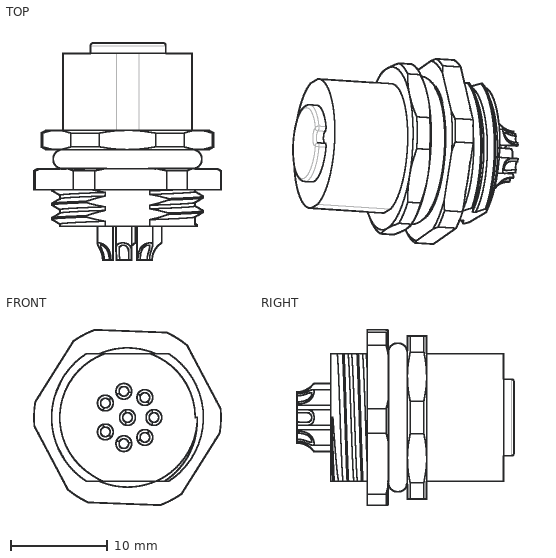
import cadquery as cq
import math


body_length = 18.0
root_radius = 7.05
barrel_radius = 6.75
flat_offset = 6.65

thread_pitch = 1.5
thread_radius = 7.9
thread_flank_angle = 30.0
crest_width = 0.15
thread_start_y = 0.06
thread_start_radius = 7.24
thread_overlap = 0.2
thread_height = thread_radius - root_radius

flange_start = 3.8
flange_thickness = 2.2
flange_across_flats = 18.0
flange_corner_radius = 9.75
flange_bore_radius = 7.25
flange_tilt = -2.15
flange_chamfer_depth = 0.22
flange_chamfer_width = 0.35

ring_gap = 2.0
ring_section_radius = 1.01
ring_centre_radius = 6.74

nut_thickness = 2.0
nut_across_flats = 17.0
nut_corner_radius = 9.0
nut_chamfer_depth = 0.29
nut_chamfer_width = 0.5

insert_radius = 4.0
insert_projection = 1.1
insert_rim_radius = 0.3
key_slot_radius = 0.65
key_slot_depth = 1.0
key_slot_edge_radius = 0.36

pin_length = 3.5
pin_radius = 0.82
pin_circle_radius = 2.75
pin_circle_count = 7
pin_spacing_angle = 49.0
cup_bore_radius = 0.5
cup_bore_depth = 1.8
scoop_radius = 2.1
scoop_depth = 1.0

flange_end = flange_start + flange_thickness
nut_start = flange_end + ring_gap
nut_end = nut_start + nut_thickness
insert_end = body_length + insert_projection


def cylinder(radius, y_start, y_end):
    """Solid cylinder on the Y axis."""
    plane = cq.Workplane("XZ", origin=(0, y_start, 0))
    return plane.circle(radius).extrude(y_start - y_end)


def turned(points):
    """Solid of revolution about the Y axis from (radius, y) points."""
    return cq.Workplane("XY").polyline(points).close().revolve(360, (0, 0), (0, 1))


def between_flats(shape, y_start, y_end):
    """Trim a shape to the two body flats and to a stretch of the axis."""
    width = 4 * thread_radius
    slab = cq.Workplane("XY").box(width, y_end - y_start, 2 * flat_offset)
    return shape.intersect(slab.translate((0, (y_start + y_end) / 2, 0)))


def ridge_section(crest_radius):
    """Cross-section of the thread ridge at +X, for a helix climbing along Z."""
    base_radius = crest_radius - thread_height - thread_overlap
    flank_slope = math.tan(math.radians(thread_flank_angle))
    crest_half = crest_width / 2
    base_half = crest_half + (crest_radius - base_radius) * flank_slope
    points = [
        (base_radius, -base_half),
        (crest_radius, -crest_half),
        (crest_radius, crest_half),
        (base_radius, base_half),
    ]
    return cq.Workplane("XZ").polyline(points).close()


def thread_ridge():
    """Ridge that rises out of the root over its first quarter turn and overruns the rear of the thread."""
    run_in_length = thread_pitch / 4
    run_in_helix = cq.Wire.makeHelix(thread_pitch, run_in_length, root_radius)
    run_in_end = ridge_section(thread_radius).val()
    run_in_end = run_in_end.rotate(cq.Vector(), cq.Vector(0, 0, 1), 90).translate((0, 0, run_in_length))
    run_in = ridge_section(thread_start_radius).add(run_in_end)
    run_in = run_in.toPending().sweep(cq.Workplane(run_in_helix), multisection=True, isFrenet=True)

    full_length = thread_pitch * math.ceil((flange_end - thread_start_y) / thread_pitch)
    full_helix = cq.Wire.makeHelix(thread_pitch, full_length, root_radius)
    full = ridge_section(thread_radius).sweep(cq.Workplane(full_helix), isFrenet=True)
    full = full.rotate((0, 0, 0), (0, 0, 1), 90).translate((0, 0, run_in_length))

    ridge = run_in.union(full)
    return ridge.rotate((0, 0, 0), (1, 0, 0), -90).translate((0, thread_start_y, 0))


def make_body():
    """Threaded front part and smooth barrel, both with the two flats."""
    core = cylinder(root_radius, -thread_pitch, flange_end + thread_pitch)
    threaded = between_flats(core.union(thread_ridge()), 0, flange_end)
    shoulder = cylinder(root_radius, flange_end, nut_start)
    barrel = cylinder(barrel_radius, nut_start, body_length)
    smooth = between_flats(shoulder.union(barrel), flange_end, body_length)
    return threaded.union(smooth)


def hexagon(across_flats, corner_radius, tilt, blank):
    """Hexagon with one pair of flats facing Z before tilting, its corners trimmed by a turned blank."""
    corner_to_corner = across_flats / math.cos(math.pi / 6)
    length = 4 * body_length
    prism = cq.Workplane("XZ").polygon(6, corner_to_corner).extrude(length / 2, both=True)
    return prism.rotate((0, 0, 0), (0, 1, 0), -tilt).intersect(blank)


def make_flange():
    blank = turned([
        (flange_bore_radius, flange_start),
        (flange_corner_radius, flange_start),
        (flange_corner_radius, flange_end - flange_chamfer_depth),
        (flange_corner_radius - flange_chamfer_width, flange_end),
        (flange_bore_radius, flange_end),
    ])
    return hexagon(flange_across_flats, flange_corner_radius, flange_tilt, blank)


def make_nut():
    end_radius = nut_corner_radius - nut_chamfer_width
    blank = turned([
        (0, nut_start),
        (end_radius, nut_start),
        (nut_corner_radius, nut_start + nut_chamfer_depth),
        (nut_corner_radius, nut_end - nut_chamfer_depth),
        (end_radius, nut_end),
        (0, nut_end),
    ])
    return hexagon(nut_across_flats, nut_corner_radius, 0, blank)


def make_sealing_ring():
    centre_y = flange_end + ring_gap / 2
    section = cq.Workplane("XY").center(-ring_centre_radius, centre_y).circle(ring_section_radius)
    return section.revolve(360, (ring_centre_radius, 0), (ring_centre_radius, 1))


def make_insert():
    """Rear insert with a round-bottomed key slot on its -X side and a rounded rim."""
    slot_centre_x = -insert_radius + key_slot_depth - key_slot_radius
    insert = cylinder(insert_radius, body_length, insert_end)
    slot_plane = cq.Workplane("XZ", origin=(0, body_length, 0))
    slot_length = 2 * insert_radius
    slot = (
        slot_plane.center(slot_centre_x - slot_length / 2, 0)
        .slot2D(slot_length + 2 * key_slot_radius, 2 * key_slot_radius)
        .extrude(-insert_projection)
    )
    insert = insert.cut(slot)
    mouth = cq.selectors.BoxSelector(
        (-2 * insert_radius, body_length, -insert_radius / 2),
        (slot_centre_x, insert_end, insert_radius / 2),
    )
    insert = insert.edges("|Y").edges(mouth).fillet(key_slot_edge_radius)
    return insert.faces(">Y").edges().fillet(insert_rim_radius)


def make_pin():
    """Pin on the axis whose solder cup opens toward +X."""
    pin = cylinder(pin_radius, -pin_length, 0)
    bore = cylinder(cup_bore_radius, -pin_length, cup_bore_depth - pin_length)
    scoop_centre_x = pin_radius - scoop_depth + scoop_radius
    scoop = (
        cq.Workplane("XY")
        .center(scoop_centre_x, -pin_length)
        .circle(scoop_radius)
        .extrude(pin_radius, both=True)
    )
    return pin.cut(bore).cut(scoop)


def make_pins():
    """Centre pin and a ring of pins opening outward, with the wide gap in the ring toward -X."""
    pin = make_pin()
    outer_pin = pin.translate((pin_circle_radius, 0, 0))
    pins = [pin]
    for index in range(pin_circle_count):
        angle = (index - pin_circle_count // 2) * pin_spacing_angle
        pins.append(outer_pin.rotate((0, 0, 0), (0, 1, 0), angle))
    return pins


result = make_body()
for piece in [make_flange(), make_nut(), make_sealing_ring(), make_insert(), *make_pins()]:
    result = result.union(piece)